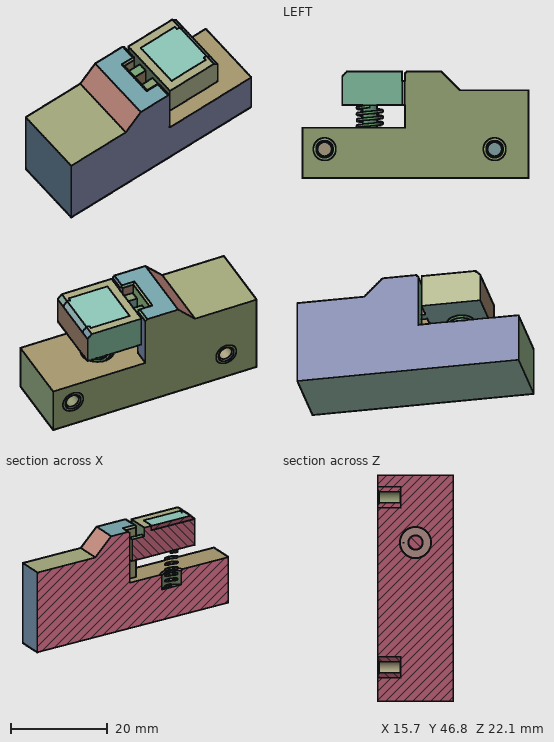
import cadquery as cq
import math

HOUSING_WIDTH = 15.65
HOUSING_LENGTH = 46.8
HOUSING_HEIGHT = 22.1
BACK_Y = HOUSING_LENGTH / 2
FRONT_Y = -HOUSING_LENGTH / 2
LEDGE_HEIGHT = 10.45
STEP_HEIGHT = 18.2
WALL_Y = 2.2
RAMP_TOP_Y = -5.35
RAMP_RUN = HOUSING_HEIGHT - STEP_HEIGHT
TOP_EDGE_CHAMFER = 0.4
MOUTH_CORNER = TOP_EDGE_CHAMFER * math.sqrt(2)

BUTTON_WIDTH = 14.27
BUTTON_LENGTH = 12.4
BUTTON_BOTTOM = 15.1
BUTTON_CHAMFER = 1.0
BUTTON_GAP = 0.55
BUTTON_FRONT_Y = WALL_Y + BUTTON_GAP
BUTTON_BACK_Y = BUTTON_FRONT_Y + BUTTON_LENGTH
PRONG_WIDTH = 2.0
PRONG_LENGTH = 3.0
PRONG_TOP = 20.12
PRONG_SPACING = 4.4

SLOT_WIDTH = 7.75
SLOT_DEPTH = 2.9

INLAY_WIDTH = 10.6
INLAY_FRONT_MARGIN = 1.83
INLAY_NECK_WIDTH = 9.15
INLAY_NECK_LENGTH = 1.7
INLAY_THICKNESS = BUTTON_CHAMFER

PIN_DIAMETER = 3.0
PIN_Y = 9.45
SPRING_DIAMETER = 5.5
SPRING_WIRE = 0.55
SPRING_TURNS = 6
SPRING_PITCH = 1.25
WELL_DIAMETER = 6.4
WELL_CHAMFER = 0.35
WELL_BOTTOM = BUTTON_BOTTOM - SPRING_WIRE - SPRING_TURNS * SPRING_PITCH

BUSHING_DIAMETER = 4.7
BUSHING_BORE = 2.9
BUSHING_MOUTH = 3.55
BUSHING_LENGTH = 4.7
BUSHING_Z = 6.0
BUSHING_YS = (-16.4, 18.8)


def block(width, y_min, y_max, z_min, z_max, x_center=0):
    """Box centred on x_center, between the given Y and Z limits."""
    size = (width, y_max - y_min, z_max - z_min)
    return cq.Workplane("XY").box(*size, centered=(True, False, False)).translate((x_center, y_min, z_min))


def upright_cylinder(diameter, z_min, z_max):
    """Cylinder on the pin axis."""
    return cq.Workplane("XY", origin=(0, PIN_Y, z_min)).circle(diameter / 2).extrude(z_max - z_min)


def bushing_plug(y):
    """Solid cylinder that fills a bushing's seat, going in from the -X side."""
    seat_plane = cq.Workplane("YZ", origin=(-HOUSING_WIDTH / 2, y, BUSHING_Z))
    return seat_plane.circle(BUSHING_DIAMETER / 2).extrude(BUSHING_LENGTH)


def make_well():
    """Volume of the spring well, with its chamfered rim."""
    rim_radius = WELL_DIAMETER / 2 + WELL_CHAMFER
    profile = (
        cq.Workplane("XZ")
        .moveTo(0, WELL_BOTTOM)
        .lineTo(WELL_DIAMETER / 2, WELL_BOTTOM)
        .lineTo(WELL_DIAMETER / 2, LEDGE_HEIGHT - WELL_CHAMFER)
        .lineTo(rim_radius, LEDGE_HEIGHT)
        .lineTo(0, LEDGE_HEIGHT)
        .close()
    )
    return profile.revolve(360, (0, 0, 0), (0, 1, 0)).translate((0, PIN_Y, 0))


def make_housing():
    body = (
        cq.Workplane("YZ", origin=(-HOUSING_WIDTH / 2, 0, 0))
        .moveTo(FRONT_Y, 0)
        .lineTo(BACK_Y, 0)
        .lineTo(BACK_Y, LEDGE_HEIGHT)
        .lineTo(WALL_Y, LEDGE_HEIGHT)
        .lineTo(WALL_Y, HOUSING_HEIGHT)
        .lineTo(RAMP_TOP_Y, HOUSING_HEIGHT)
        .lineTo(RAMP_TOP_Y - RAMP_RUN, STEP_HEIGHT)
        .lineTo(FRONT_Y, STEP_HEIGHT)
        .close()
        .extrude(HOUSING_WIDTH)
    )
    slot_end_y = WALL_Y - SLOT_DEPTH
    body = body.cut(block(SLOT_WIDTH, slot_end_y, WALL_Y, LEDGE_HEIGHT, HOUSING_HEIGHT))

    edge_zone = cq.selectors.BoxSelector(
        (-HOUSING_WIDTH, slot_end_y - TOP_EDGE_CHAMFER, HOUSING_HEIGHT - TOP_EDGE_CHAMFER),
        (HOUSING_WIDTH, WALL_Y + TOP_EDGE_CHAMFER, HOUSING_HEIGHT + TOP_EDGE_CHAMFER),
    )
    side_edges = cq.selectors.BoxSelector(
        (-SLOT_WIDTH, RAMP_TOP_Y, 0), (SLOT_WIDTH, BACK_Y, HOUSING_HEIGHT + TOP_EDGE_CHAMFER)
    )
    body = body.edges(edge_zone).edges(side_edges).chamfer(TOP_EDGE_CHAMFER)

    for x in (-SLOT_WIDTH / 2, SLOT_WIDTH / 2):
        corner_cut = (
            cq.Workplane("XY", origin=(x, WALL_Y, LEDGE_HEIGHT))
            .rect(MOUTH_CORNER, MOUTH_CORNER)
            .extrude(HOUSING_HEIGHT - LEDGE_HEIGHT)
            .rotate((x, WALL_Y, 0), (x, WALL_Y, 1), 45)
        )
        body = body.cut(corner_cut)

    body = body.cut(make_well())
    for y in BUSHING_YS:
        body = body.cut(bushing_plug(y))
    return body


def make_button_blank():
    """Button before the inlay recess is cut."""
    body = block(BUTTON_WIDTH, BUTTON_FRONT_Y, BUTTON_BACK_Y, BUTTON_BOTTOM, HOUSING_HEIGHT)
    body = body.edges(">Y and >Z").chamfer(BUTTON_CHAMFER)
    for x in (-PRONG_SPACING / 2, PRONG_SPACING / 2):
        prong = block(PRONG_WIDTH, BUTTON_FRONT_Y - PRONG_LENGTH, BUTTON_FRONT_Y, BUTTON_BOTTOM, PRONG_TOP, x)
        body = body.union(prong)
    return body


def make_inlay(button_blank):
    """T-shaped plate that follows the top and the chamfer of the button."""
    bottom_z = HOUSING_HEIGHT - INLAY_THICKNESS
    neck_y = BUTTON_BACK_Y - INLAY_NECK_LENGTH
    plate = block(INLAY_WIDTH, BUTTON_FRONT_Y + INLAY_FRONT_MARGIN, neck_y, bottom_z, HOUSING_HEIGHT)
    neck = block(INLAY_NECK_WIDTH, neck_y, BUTTON_BACK_Y, bottom_z, HOUSING_HEIGHT)
    return plate.union(neck).intersect(button_blank)


def make_pin():
    return upright_cylinder(PIN_DIAMETER, WELL_BOTTOM, BUTTON_BOTTOM)


def make_spring():
    """Helical spring standing in the well, with both wire ends on the -X side."""
    coil_radius = (SPRING_DIAMETER - SPRING_WIRE) / 2
    path = cq.Wire.makeHelix(SPRING_PITCH, SPRING_TURNS * SPRING_PITCH, coil_radius)
    coil = cq.Workplane("XZ", origin=(coil_radius, 0, 0)).circle(SPRING_WIRE / 2).sweep(path, isFrenet=True)
    coil = coil.rotate((0, 0, 0), (0, 0, 1), 180)
    return coil.translate((0, PIN_Y, WELL_BOTTOM + SPRING_WIRE / 2))


def make_bushing(y):
    mouth_chamfer = (BUSHING_MOUTH - BUSHING_BORE) / 2
    body = bushing_plug(y).faces("<X").workplane().hole(BUSHING_BORE)
    return body.faces("<X").edges(cq.selectors.RadiusNthSelector(0)).chamfer(mouth_chamfer)


housing = make_housing()
button_blank = make_button_blank()
inlay = make_inlay(button_blank)
button = button_blank.cut(inlay)
pin = make_pin()
spring = make_spring()
bushings = [make_bushing(y) for y in BUSHING_YS]

result = cq.Compound.makeCompound(
    [housing.val(), button.val(), inlay.val(), pin.val(), spring.val(), *[bushing.val() for bushing in bushings]]
)